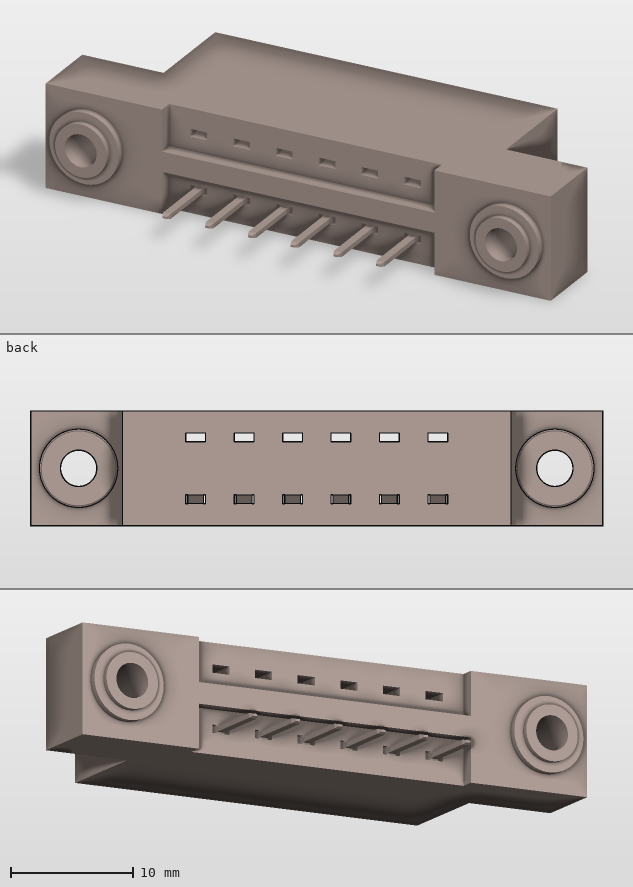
import cadquery as cq

housing_width = 46.8
housing_height = 9.4
housing_depth = 15.35
flange_depth = 6.35
block_width = 31.72

recess_width = 25.2
recess_depth = 1.25
rib_height = 1.82
recess_height = (housing_height - rib_height) / 2

contact_count = 6
contact_row_span = 19.8
contact_pitch = contact_row_span / (contact_count - 1)
slot_row_offset = 2.55
slot_width = 1.6
slot_height = 0.7

overall_depth = 20.03
pin_width = 0.7
pin_thickness = 0.4
tip_length = 0.4
tip_width = 0.37
tip_thickness = 0.2
blade_width = 1.3
blade_thickness = slot_height
blade_length = 5.6
shoulder_length = 0.85

bushing_spacing = 38.95
bushing_bore = 2.95
bushing_body_diameter = 4.75
bushing_flange_diameter = 6.4
bushing_flange_thickness = 0.7
bushing_nose_length = 0.55
bushing_edge_radius = 0.15

pin_tip_y = housing_depth - overall_depth
contact_xs = [i * contact_pitch - contact_row_span / 2 for i in range(contact_count)]
bushing_xs = [-bushing_spacing / 2, bushing_spacing / 2]


def box_from(front_y, width, depth, height, x=0.0, z=0.0):
    """Box centred at x and z that runs toward +Y from front_y."""
    return cq.Workplane("XY").box(width, depth, height).translate((x, front_y + depth / 2, z))


def cylinder_from(front_y, diameter, length, x):
    """Cylinder along Y, at mid-height, that runs toward +Y from front_y."""
    solid = cq.Solid.makeCylinder(diameter / 2, length, cq.Vector(x, front_y, 0), cq.Vector(0, 1, 0))
    return cq.Workplane("XY").add(solid)


def make_housing():
    body = box_from(0, housing_width, flange_depth, housing_height)
    body = body.union(box_from(0, block_width, housing_depth, housing_height))
    recess_z = (rib_height + recess_height) / 2
    for side in (-1, 1):
        body = body.cut(box_from(0, recess_width, recess_depth, recess_height, z=side * recess_z))
        for x in contact_xs:
            slot = box_from(0, slot_width, housing_depth, slot_height, x, side * slot_row_offset)
            body = body.cut(slot)
    for x in bushing_xs:
        body = body.cut(cylinder_from(0, bushing_body_diameter, flange_depth, x))
    return body


def make_bushing(x):
    """Tube with a clamping flange on each side of the mounting flange and a nose in front."""
    front_y = -bushing_flange_thickness - bushing_nose_length
    rear_y = flange_depth + bushing_flange_thickness
    tube = cylinder_from(front_y, bushing_body_diameter, rear_y - front_y, x)
    front_flange = cylinder_from(
        -bushing_flange_thickness, bushing_flange_diameter, bushing_flange_thickness, x
    )
    rear_flange = cylinder_from(flange_depth, bushing_flange_diameter, bushing_flange_thickness, x)
    rear_flange = rear_flange.faces(">Y").edges().fillet(bushing_edge_radius)
    bore = cylinder_from(front_y, bushing_bore, rear_y - front_y, x)
    return tube.union(front_flange).union(rear_flange).cut(bore)


def make_contact(x):
    """Blade with tapered shoulders, a straight pin and a tapered tip, in the lower row."""
    z = -slot_row_offset
    blade_y = recess_depth + shoulder_length
    pin_y = pin_tip_y + tip_length
    blade = (
        cq.Workplane("XY")
        .polyline([
            (x - pin_width / 2, recess_depth),
            (x + pin_width / 2, recess_depth),
            (x + blade_width / 2, blade_y),
            (x + blade_width / 2, blade_y + blade_length),
            (x - blade_width / 2, blade_y + blade_length),
            (x - blade_width / 2, blade_y),
        ])
        .close()
        .extrude(blade_thickness)
        .translate((0, 0, z - blade_thickness / 2))
    )
    pin = box_from(pin_y, pin_width, recess_depth - pin_y, pin_thickness, x, z)
    tip = (
        cq.Workplane("XZ", origin=(x, pin_y, z))
        .rect(pin_width, pin_thickness)
        .workplane(offset=tip_length)
        .rect(tip_width, tip_thickness)
        .loft(ruled=True)
    )
    return blade.union(pin).union(tip)


housing = make_housing()
bushings = [make_bushing(x) for x in bushing_xs]
contacts = [make_contact(x) for x in contact_xs]

result = cq.Compound.makeCompound([
    housing.solids().val(),
    *[bushing.solids().val() for bushing in bushings],
    *[contact.solids().val() for contact in contacts],
])